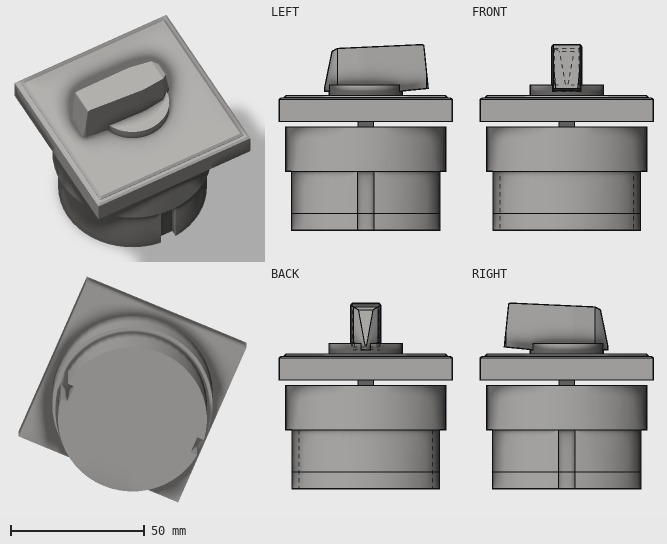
import cadquery as cq

BASE_TOP = 6.35
HOUSING_TOP = 22.1
COLLAR_TOP = 38.8
BEZEL_BOTTOM = 40.8
BEZEL_TOP = 49.65
INSERT_TOP = 50.6
HUB_TOP = 54.6
TOTAL_HEIGHT = 69.6

BODY_RADIUS = 27.9
COLLAR_RADIUS = 30.1
SLOT_WIDTH = 6.35
SLOT_FLOOR = 25.05
SHAFT_SIDE = 5.9

BEZEL_SIDE = 65.0
BEZEL_CHAMFER_INSET = 0.85
BEZEL_CHAMFER_HEIGHT = 0.55
INSERT_INSET = 1.95
INSERT_SIDE = BEZEL_SIDE - 2 * INSERT_INSET
INSERT_CHAMFER_INSET = 0.85
INSERT_CHAMFER_HEIGHT = 0.8

HUB_RADIUS = 13.8
GRIP_BOTTOM = 52.1
GRIP_MID_HALF_WIDTH = 5.7
GRIP_MID_Y = 0.55
GRIP_BULGE_HALF_LENGTH = 2.1
GRIP_BULGE_HALF_WIDTH = 5.65
SHOULDER_HALF_WIDTH = 4.6
SHOULDER_Y = 10.6
POINT_Y = 15.7
POINT_RADIUS = 0.55
TAIL_HALF_WIDTH = 4.9
TAIL_BOTTOM_Y = -23.45
TAIL_BOTTOM_Z = 53.2
TAIL_TOP_Y = -21.8
TAIL_CORNER = 0.8
TAIL_TOP_RADIUS = 0.7
UNDERCUT_HALF_WIDTH = 5.3
UNDERCUT_Y = -12.5
CREST_Y = -19.7
TOP_FRONT_Z = 68.2
NOSE_Y = 12.7
NOSE_Z = 67.1


def cylinder(radius, bottom, top):
    return cq.Workplane("XY").workplane(offset=bottom).circle(radius).extrude(top - bottom)


def square_block(side, bottom, top):
    return cq.Workplane("XY").workplane(offset=bottom).rect(side, side).extrude(top - bottom)


def slotted_disc(bottom, top):
    """Disc with an axial slot on its -X and +X sides."""
    disc = cylinder(BODY_RADIUS, bottom, top)
    slot_depth = BODY_RADIUS - SLOT_FLOOR
    for side in (-1, 1):
        slot = (
            cq.Workplane("XY").workplane(offset=bottom)
            .center(side * (SLOT_FLOOR + slot_depth / 2), 0)
            .rect(slot_depth, SLOT_WIDTH).extrude(top - bottom)
        )
        disc = disc.cut(slot)
    return disc


def chamfered_plate(side, bottom, top, chamfer_height, chamfer_inset):
    """Square plate whose top edge slopes inwards all round."""
    chamfer_start = top - chamfer_height
    top_side = side - 2 * chamfer_inset
    sloped_rim = (
        cq.Workplane("XY").workplane(offset=chamfer_start).rect(side, side)
        .workplane(offset=chamfer_height).rect(top_side, top_side)
        .loft(ruled=True)
    )
    return square_block(side, bottom, chamfer_start).union(sloped_rim)


def grip_side_profile():
    """Grip seen along X: sloping top, slanted nose and slanted tail."""
    return (
        cq.Workplane("YZ")
        .moveTo(POINT_Y, GRIP_BOTTOM)
        .lineTo(NOSE_Y, NOSE_Z)
        .lineTo(SHOULDER_Y, TOP_FRONT_Z)
        .lineTo(CREST_Y, TOTAL_HEIGHT)
        .lineTo(TAIL_TOP_Y, TOTAL_HEIGHT)
        .lineTo(TAIL_BOTTOM_Y, TAIL_BOTTOM_Z)
        .lineTo(UNDERCUT_Y, GRIP_BOTTOM)
        .close()
        .extrude(GRIP_MID_HALF_WIDTH, both=True)
    )


def grip_plan():
    """Grip seen along Z: pointed front, bulging middle, chamfered tail."""
    bulge_front = GRIP_MID_Y + GRIP_BULGE_HALF_LENGTH
    bulge_back = GRIP_MID_Y - GRIP_BULGE_HALF_LENGTH
    plan = (
        cq.Workplane("XY").workplane(offset=GRIP_BOTTOM)
        .moveTo(0, POINT_Y)
        .lineTo(SHOULDER_HALF_WIDTH, SHOULDER_Y)
        .lineTo(GRIP_BULGE_HALF_WIDTH, bulge_front)
        .threePointArc((GRIP_MID_HALF_WIDTH, GRIP_MID_Y), (GRIP_BULGE_HALF_WIDTH, bulge_back))
        .lineTo(UNDERCUT_HALF_WIDTH, UNDERCUT_Y)
        .lineTo(TAIL_HALF_WIDTH, TAIL_BOTTOM_Y)
        .lineTo(-TAIL_HALF_WIDTH, TAIL_BOTTOM_Y)
        .lineTo(-UNDERCUT_HALF_WIDTH, UNDERCUT_Y)
        .lineTo(-GRIP_BULGE_HALF_WIDTH, bulge_back)
        .threePointArc((-GRIP_MID_HALF_WIDTH, GRIP_MID_Y), (-GRIP_BULGE_HALF_WIDTH, bulge_front))
        .lineTo(-SHOULDER_HALF_WIDTH, SHOULDER_Y)
        .close()
        .extrude(TOTAL_HEIGHT - GRIP_BOTTOM)
    )
    plan = plan.faces("<Y").edges("|Z").chamfer(TAIL_CORNER)
    return plan.edges("|Z and >Y").fillet(POINT_RADIUS)


def make_knob():
    side_profile = grip_side_profile()
    tail_top_edge = cq.selectors.NearestToPointSelector((0, TAIL_TOP_Y, TOTAL_HEIGHT))
    side_profile = side_profile.edges("|X").edges(tail_top_edge).fillet(TAIL_TOP_RADIUS)
    grip = side_profile.intersect(grip_plan())
    return cylinder(HUB_RADIUS, INSERT_TOP, HUB_TOP).union(grip)


base = slotted_disc(0, BASE_TOP)
housing = slotted_disc(BASE_TOP, HOUSING_TOP)
collar = cylinder(COLLAR_RADIUS, HOUSING_TOP, COLLAR_TOP)
shaft = square_block(SHAFT_SIDE, COLLAR_TOP, BEZEL_BOTTOM)
bezel = chamfered_plate(
    BEZEL_SIDE, BEZEL_BOTTOM, BEZEL_TOP, BEZEL_CHAMFER_HEIGHT, BEZEL_CHAMFER_INSET
)
insert = chamfered_plate(
    INSERT_SIDE, BEZEL_TOP, INSERT_TOP, INSERT_CHAMFER_HEIGHT, INSERT_CHAMFER_INSET
)
knob = make_knob()

result = cq.Compound.makeCompound([
    base.val(),
    housing.val(),
    collar.val(),
    shaft.val(),
    bezel.val(),
    insert.val(),
    knob.val(),
])